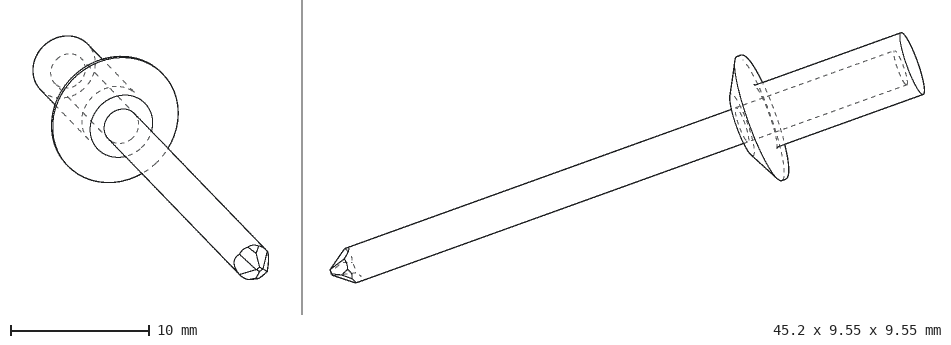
import cadquery as cq
import math

length = 45.25

shank_diameter = 4.75
flange_diameter = 9.55
flange_start = 11.5
dish_depth = 0.1
rim_thickness = 0.4
cone_height = 1.35
neck_fillet = 0.3
rim_fillet = 0.15

mandrel_diameter = 2.62
end_wall = 0.9

side_apex = 45.7
side_slope = 1.8
top_apex = 46.4
top_slope = 2.1
corner_apex = 45.4
corner_slope = 1.3
corner_angle = 54.0

shank_radius = shank_diameter / 2
flange_radius = flange_diameter / 2
mandrel_radius = mandrel_diameter / 2
rim_end = flange_start + rim_thickness
hub_start = flange_start + dish_depth
shell_end = rim_end + cone_height


def rod(start, end):
    """Solid rod of the mandrel diameter along X."""
    return cq.Workplane("YZ", origin=(start, 0, 0)).circle(mandrel_radius).extrude(end - start)


def make_shell():
    """Closed shank and conical flange, with a blind hole for the mandrel."""
    fillet_mid = neck_fillet * (1 - math.sqrt(0.5))
    rim_mid = rim_fillet * (1 - math.sqrt(0.5))
    profile = (
        cq.Workplane("XY")
        .lineTo(0, shank_radius)
        .lineTo(hub_start - neck_fillet, shank_radius)
        .threePointArc(
            (hub_start - fillet_mid, shank_radius + fillet_mid),
            (hub_start, shank_radius + neck_fillet),
        )
        .lineTo(flange_start, flange_radius - rim_fillet)
        .threePointArc(
            (flange_start + rim_mid, flange_radius - rim_mid),
            (flange_start + rim_fillet, flange_radius),
        )
        .lineTo(rim_end, flange_radius)
        .lineTo(shell_end, shank_radius)
        .lineTo(shell_end, 0)
        .close()
    )
    body = profile.revolve(360, (0, 0, 0), (1, 0, 0))
    return body.cut(rod(end_wall, shell_end))


def facet_cutter(apex, slope, angle):
    """Wedge outside one tip facet that faces the given angle from +Y about X."""
    outer = 2 * mandrel_radius
    return (
        cq.Workplane("XY")
        .moveTo(apex, 0)
        .lineTo(apex - slope * outer, outer)
        .lineTo(apex, outer)
        .close()
        .extrude(outer, both=True)
        .rotate((0, 0, 0), (1, 0, 0), angle)
    )


def make_mandrel():
    """Straight pin with a faceted tip."""
    pin = rod(end_wall, length)
    for half_turn in (0, 180):
        pin = pin.cut(facet_cutter(side_apex, side_slope, half_turn))
        pin = pin.cut(facet_cutter(top_apex, top_slope, half_turn + 90))
        for angle in (corner_angle, -corner_angle):
            pin = pin.cut(facet_cutter(corner_apex, corner_slope, half_turn + angle))
    return pin


shell = make_shell()
mandrel = make_mandrel()

result = cq.Compound.makeCompound([shell.val(), mandrel.val()])